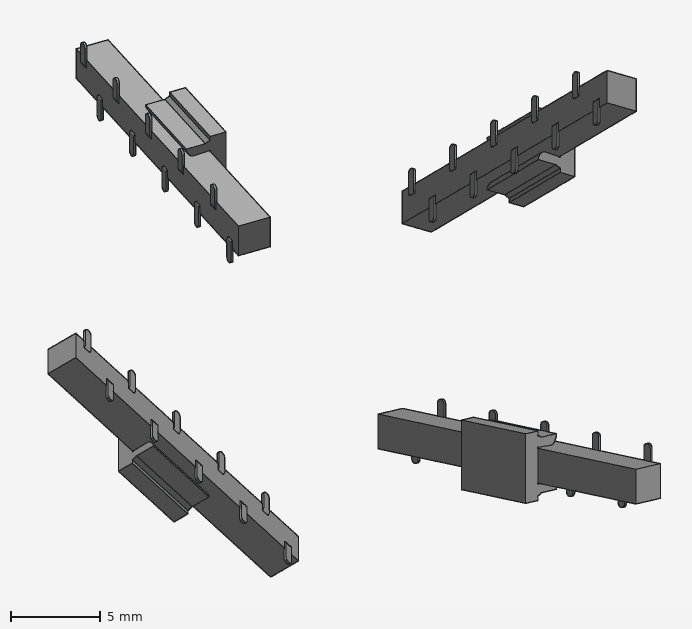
import cadquery as cq

strip_length = 20.0
strip_size = 2.0
strip_front_y = -strip_size / 2
strip_back_y = strip_size / 2

contact_count = 10
contact_pitch = 2.0
contact_width = 0.5
contact_thickness = 0.15
contact_proud = 0.1
contact_tip_z = 2.0
tip_flat = 0.002
bend_centre_z = 0.65
bend_outer_radius = 0.25
bend_inner_radius = bend_outer_radius - contact_thickness
contact_root_depth = 0.4
contact_front_y = strip_front_y - contact_proud

clip_length = 5.0
clip_offset_x = 0.08
plate_height = 4.0
plate_thickness = 1.0
arm_length = 1.5
arm_outer_z = 1.6
arm_root_gap = 0.05
root_chamfer_length = 0.3
root_chamfer_height = 0.15
lead_in_top_z = 1.45
lead_in_depth = 0.25
lead_in_radius = 0.35


def make_contact():
    """One contact centred on X = 0, pointing up."""
    bend_centre_y = contact_front_y + bend_outer_radius
    root_y = bend_centre_y + contact_root_depth
    blade_back_y = contact_front_y + contact_thickness
    contact = (
        cq.Workplane("YZ")
        .moveTo(contact_front_y, contact_tip_z)
        .lineTo(contact_front_y, bend_centre_z)
        .radiusArc((bend_centre_y, bend_centre_z - bend_outer_radius), -bend_outer_radius)
        .lineTo(root_y, bend_centre_z - bend_outer_radius)
        .lineTo(root_y, bend_centre_z - bend_inner_radius)
        .lineTo(bend_centre_y, bend_centre_z - bend_inner_radius)
        .radiusArc((blade_back_y, bend_centre_z), bend_inner_radius)
        .lineTo(blade_back_y, contact_tip_z)
        .close()
        .extrude(contact_width / 2, both=True)
    )
    tip_corners = contact.faces(">Z").edges("|Y")
    return tip_corners.fillet(contact_width / 2 - tip_flat)


def make_strip():
    """The bar together with its contacts."""
    strip = cq.Workplane("XY").box(strip_length, strip_size, strip_size)
    up_contact = make_contact()
    down_contact = up_contact.mirror("XY")
    first_x = -contact_pitch * (contact_count - 1) / 2
    for index in range(contact_count):
        contact = up_contact if index % 2 == 0 else down_contact
        strip = strip.union(contact.translate((first_x + index * contact_pitch, 0, 0)))
    return strip


def make_arm():
    """The upper arm of the clip, with a rounded lead-in under its free end."""
    plate_y = strip_back_y
    nose_y = plate_y - arm_length
    toe_y = nose_y + lead_in_depth
    grip_z = strip_size / 2
    arm = (
        cq.Workplane("YZ")
        .moveTo(plate_y, grip_z + arm_root_gap)
        .lineTo(plate_y, arm_outer_z + root_chamfer_height)
        .lineTo(plate_y - root_chamfer_length, arm_outer_z)
        .lineTo(nose_y, arm_outer_z)
        .lineTo(nose_y, lead_in_top_z)
        .lineTo(toe_y, grip_z)
        .close()
        .extrude(clip_length / 2, both=True)
    )
    lead_in_edges = cq.selectors.BoxSelector(
        (-clip_length, nose_y - lead_in_depth, 0),
        (clip_length, toe_y + lead_in_depth, (lead_in_top_z + arm_outer_z) / 2),
    )
    return arm.edges("|X").edges(lead_in_edges).fillet(lead_in_radius)


def make_clip():
    """The back plate with its two arms."""
    plate = cq.Workplane("XY").box(clip_length, plate_thickness, plate_height)
    plate = plate.translate((0, strip_back_y + plate_thickness / 2, 0))
    arm = make_arm()
    clip = plate.union(arm).union(arm.mirror("XY"))
    return clip.translate((clip_offset_x, 0, 0))


strip = make_strip()
clip = make_clip()

result = cq.Compound.makeCompound([strip.val(), clip.val()])